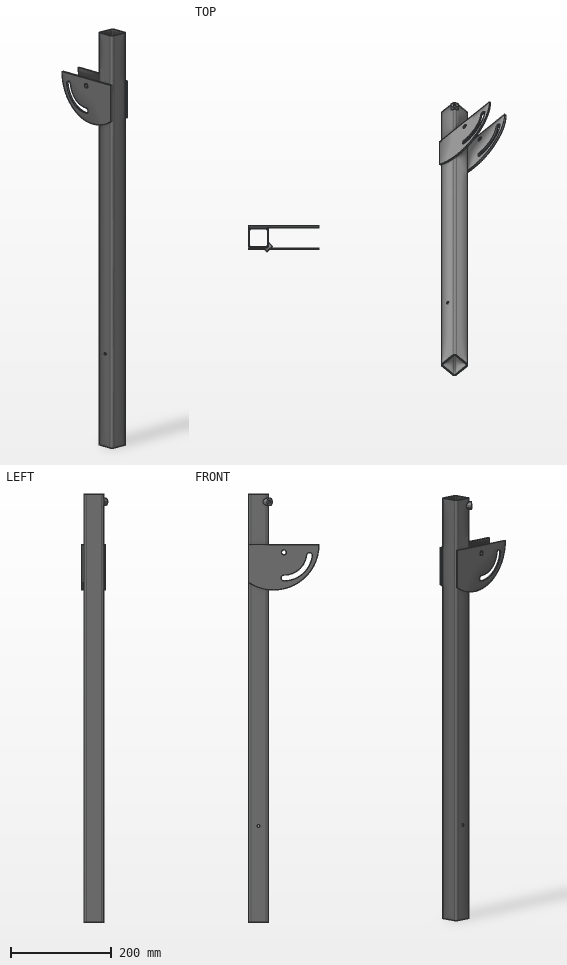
import cadquery as cq
import math

tube_length = 850.0
tube_side = 40.0
tube_wall = 2.5
tube_corner_radius = 5.0

foot_hole_diameter = 5.0
foot_hole_height = 191.0

plate_length = 140.0
plate_top = tube_length - 100.0
plate_radius = 90.0
front_plate_thickness = 3.0
rear_plate_thickness = 4.0

pivot_x = 70.5
pivot_z = plate_top - 15.0
pivot_diameter = 9.0
slot_radius = 51.0
slot_width = 11.0
slot_start_angle = -90.0
slot_end_angle = -7.0

boss_diameter = 15.0
boss_hole_diameter = 5.0
boss_reach = 8.0
boss_height = tube_length - 15.0


def make_tube():
    centre = tube_side / 2
    bore_side = tube_side - 2 * tube_wall
    outside = (
        cq.Workplane("XY").center(centre, centre).rect(tube_side, tube_side)
        .extrude(tube_length).edges("|Z").fillet(tube_corner_radius)
    )
    bore = (
        cq.Workplane("XY").center(centre, centre).rect(bore_side, bore_side)
        .extrude(tube_length).edges("|Z").fillet(tube_corner_radius - tube_wall)
    )
    foot_hole = (
        cq.Workplane("XZ").center(centre, foot_hole_height)
        .circle(foot_hole_diameter / 2).extrude(-tube_side)
    )
    return outside.cut(foot_hole), bore


def slot_point(radius, angle):
    """Point at a polar position about the pivot, in the XZ plane."""
    turn = math.radians(angle)
    return pivot_x + radius * math.cos(turn), pivot_z + radius * math.sin(turn)


def make_plate(y_min, thickness):
    """Quadrant plate filling y_min to y_min + thickness."""
    plane = cq.Workplane("XZ", origin=(0, y_min, 0))
    arc_x = plate_length - plate_radius
    left_depth = math.sqrt(plate_radius**2 - arc_x**2)
    plate = (
        plane.moveTo(0, plate_top).lineTo(plate_length, plate_top)
        .threePointArc((arc_x, plate_top - plate_radius), (0, plate_top - left_depth))
        .close().extrude(-thickness)
    )
    pivot = plane.center(pivot_x, pivot_z).circle(pivot_diameter / 2).extrude(-thickness)

    inner = slot_radius - slot_width / 2
    outer = slot_radius + slot_width / 2
    middle_angle = (slot_start_angle + slot_end_angle) / 2
    cap_angle = math.degrees(2 * math.asin(slot_width / 4 / slot_radius))
    slot = (
        plane.moveTo(*slot_point(inner, slot_start_angle))
        .threePointArc(slot_point(inner, middle_angle), slot_point(inner, slot_end_angle))
        .threePointArc(
            slot_point(slot_radius, slot_end_angle + cap_angle), slot_point(outer, slot_end_angle)
        )
        .threePointArc(slot_point(outer, middle_angle), slot_point(outer, slot_start_angle))
        .threePointArc(
            slot_point(slot_radius, slot_start_angle - cap_angle), slot_point(inner, slot_start_angle)
        )
        .close().extrude(-thickness)
    )
    return plate.cut(pivot).cut(slot)


def make_boss_cylinder(diameter):
    """Diagonal cylinder from the boss face inward to the tube centre."""
    face_offset = boss_reach - boss_diameter / 2 / math.sqrt(2)
    face_centre = (tube_side + face_offset, -face_offset, boss_height)
    inward_length = (tube_side / 2 + face_offset) * math.sqrt(2)
    plane = cq.Plane(origin=face_centre, xDir=(0, 0, 1), normal=(-1, 1, 0))
    return cq.Workplane(plane).circle(diameter / 2).extrude(inward_length)


tube, tube_bore = make_tube()
result = (
    tube
    .union(make_plate(-front_plate_thickness, front_plate_thickness))
    .union(make_plate(tube_side, rear_plate_thickness))
    .union(make_boss_cylinder(boss_diameter))
    .cut(make_boss_cylinder(boss_hole_diameter))
    .cut(tube_bore)
)